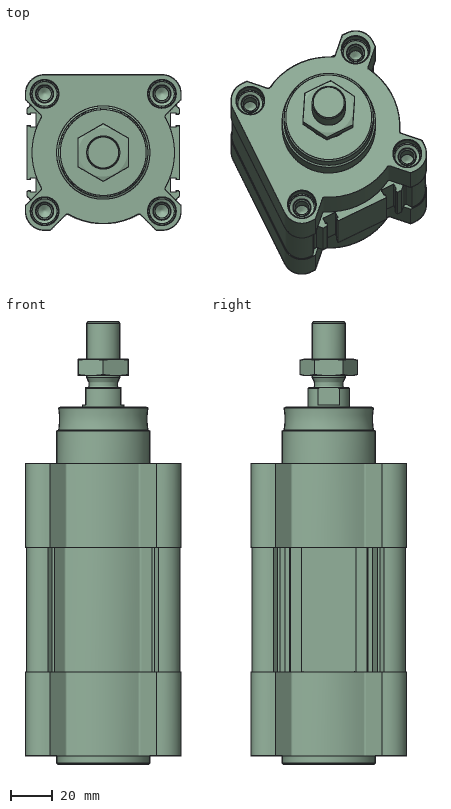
import cadquery as cq
import math

total_height = 213.0
rear_pilot_height = 4.0
cap_height = 40.5
barrel_height = 59.9
nose_height = 15.5
gaiter_seat_height = 11.5

rear_cap_top = rear_pilot_height + cap_height
barrel_top = rear_cap_top + barrel_height
front_cap_top = barrel_top + cap_height
nose_top = front_cap_top + nose_height
gaiter_seat_top = nose_top + gaiter_seat_height

cap_width = 75.0
screw_offset = 28.24
lug_flat_end = 25.5
cap_round_radius = 34.3
recess_fillet = 1.0

barrel_width = 74.0
barrel_round_radius = 34.0
lug_edge = 26.6
ledge_outer = 24.7
ledge_inner = 23.5
ledge_distance = 34.3
side_face_distance = 36.75

slot_opening_inner = 13.0
slot_opening_outer = 18.3
slot_undercut = 0.6
slot_floor_distance = 32.4
slot_lip_thickness = 1.7
slot_lip_chamfer = 0.6

pilot_diameter = 45.0
pilot_chamfer = 0.6
gaiter_seat_diameter = 43.0
seat_base_slope_height = 0.5
seat_rim_chamfer_width = 0.9
seat_rim_chamfer_height = 0.5
gaiter_seat_waist = 0.5

socket_rim_diameter = 13.9
socket_diameter = 13.2
thread_cone_diameter = 12.0
screw_recess_depth = 8.5
thread_mouth_diameter = 8.7
thread_diameter = 8.0
thread_core_diameter = 6.5
thread_depth = 21.3
drill_tip_slope = 30.0

rod_diameter = 20.0
rod_shoulder_z = 181.3
flats_bottom_z = 173.0
flats_width = 17.0
thread_end_z = 186.2
neck_top_z = 184.0
neck_diameter = 13.9
rod_thread_diameter = 16.0
rod_tip_diameter = 15.0
rod_tip_chamfer_height = 0.9
shoulder_chamfer = 0.5
neck_fillet = 0.6

nut_across_flats = 24.0
nut_bottom_z = 187.0
nut_height = 8.0
nut_chamfer_diameter = 23.5
nut_chamfer_angle = 15.0
hex_half_angle = 30.0


def cylinder(diameter, bottom, top):
    return cq.Workplane("XY").workplane(offset=bottom).circle(diameter / 2).extrude(top - bottom)


def rounded_block(width, bottom, top):
    """Square block whose corner rounds are centred on the corner screws."""
    return (
        cq.Workplane("XY").workplane(offset=bottom)
        .rect(width, width).extrude(top - bottom)
        .edges("|Z").fillet(width / 2 - screw_offset)
    )


def prism(points, bottom, top):
    return cq.Workplane("XY").workplane(offset=bottom).polyline(points).close().extrude(top - bottom)


def mirrored(points):
    """Closes a half outline on the right of the Y axis with its mirror image."""
    return points + [(-x, y) for x, y in reversed(points) if x > 0]


def lug_recess(half_outline, belly_radius, bottom, top):
    """Space between two lugs on the -Y side, outside the round belly."""
    belly = cylinder(2 * belly_radius, bottom, top)
    recess = prism(mirrored(half_outline), bottom, top).cut(belly)
    inner_corners = recess.edges("|Z").edges(">Y")
    return inner_corners.fillet(recess_fillet)


def end_cap(bottom):
    """Cap with four corner lugs, recessed between them on every side but the flat +Y side."""
    top = bottom + cap_height
    half = cap_width / 2
    recess = lug_recess([(lug_flat_end, -half), (0, lug_flat_end - half)], cap_round_radius, bottom, top)
    cap = rounded_block(cap_width, bottom, top)
    for angle in (-90, 0, 90):
        cap = cap.cut(recess.rotate((0, 0, 0), (0, 0, 1), angle))
    return cap


def sensor_slot():
    """T-slot of the -X face, on its +Y half."""
    lip_inside = side_face_distance - slot_lip_thickness
    outside = cap_width / 2
    chamfer_reach = slot_lip_chamfer + outside - side_face_distance
    points = [
        (-outside, slot_opening_inner),
        (-lip_inside, slot_opening_inner),
        (-lip_inside, slot_opening_inner - slot_undercut),
        (-slot_floor_distance, slot_opening_inner - slot_undercut),
        (-slot_floor_distance, slot_opening_outer + slot_undercut),
        (-lip_inside, slot_opening_outer + slot_undercut),
        (-lip_inside, slot_opening_outer),
        (-side_face_distance + slot_lip_chamfer, slot_opening_outer),
        (-outside, slot_opening_outer + chamfer_reach),
    ]
    return prism(points, rear_cap_top, barrel_top)


def side_relief():
    """Sets the -X face back from the lugs and cuts the notch beside the +Y lug."""
    half = barrel_width / 2
    points = [
        (-half, 0),
        (-side_face_distance, 0),
        (-side_face_distance, ledge_inner - (side_face_distance - ledge_distance)),
        (-ledge_distance, ledge_inner),
        (-ledge_distance, ledge_outer),
        (-half, lug_edge),
    ]
    return prism(points, rear_cap_top, barrel_top)


def barrel():
    """Barrel profile, slightly smaller than the caps, with two sensor slots on each X side."""
    half = barrel_width / 2
    body = rounded_block(barrel_width, rear_cap_top, barrel_top)
    half_outline = [
        (lug_edge, -half),
        (ledge_outer, -ledge_distance),
        (ledge_inner, -ledge_distance),
        (0, ledge_inner - ledge_distance),
    ]
    body = body.cut(lug_recess(half_outline, barrel_round_radius, rear_cap_top, barrel_top))
    side_cut = side_relief().union(sensor_slot())
    side_cut = side_cut.union(side_cut.mirror("XZ"))
    return body.cut(side_cut).cut(side_cut.mirror("YZ"))


def nose():
    """Bearing nose with a slightly hollowed seat for a gaiter."""
    seat_radius = gaiter_seat_diameter / 2
    pilot_radius = pilot_diameter / 2
    seat_rim_z = gaiter_seat_top - seat_rim_chamfer_height
    seat_bottom_z = nose_top + seat_base_slope_height
    middle = (seat_bottom_z + seat_rim_z) / 2
    return (
        cq.Workplane("XZ")
        .moveTo(0, front_cap_top)
        .lineTo(pilot_radius, front_cap_top)
        .lineTo(pilot_radius, nose_top)
        .lineTo(seat_radius, seat_bottom_z)
        .threePointArc((seat_radius - gaiter_seat_waist, middle), (seat_radius, seat_rim_z))
        .lineTo(seat_radius - seat_rim_chamfer_width, gaiter_seat_top)
        .lineTo(0, gaiter_seat_top)
        .close().revolve()
    )


def rear_pilot():
    """Short centring disc under the rear cap."""
    return cylinder(pilot_diameter, 0, rear_pilot_height).faces("<Z").chamfer(pilot_chamfer)


def screw_socket():
    """Recess around a corner screw head and the threaded blind hole in it."""
    top = front_cap_top
    floor = top - screw_recess_depth
    rim_drop = (socket_rim_diameter - socket_diameter) / 2
    mouth = floor - (thread_cone_diameter - thread_mouth_diameter) / 4
    thread_bottom = top - thread_depth
    core = thread_core_diameter / 2
    return (
        cq.Workplane("XZ")
        .moveTo(0, top)
        .lineTo(socket_rim_diameter / 2, top)
        .lineTo(socket_diameter / 2, top - rim_drop)
        .lineTo(socket_diameter / 2, floor)
        .lineTo(thread_cone_diameter / 2, floor)
        .lineTo(thread_mouth_diameter / 2, mouth)
        .lineTo(thread_diameter / 2, mouth)
        .lineTo(core, mouth - thread_diameter / 2 + core)
        .lineTo(core, thread_bottom)
        .lineTo(0, thread_bottom - core * math.tan(math.radians(drill_tip_slope)))
        .close().revolve()
    )


def make_housing():
    """Caps, barrel, nose and rear pilot in one body, bored for the rod through the front cap."""
    body = rear_pilot().union(end_cap(rear_pilot_height)).union(barrel())
    body = body.union(end_cap(barrel_top)).union(nose())
    socket = screw_socket()
    for x in (-screw_offset, screw_offset):
        for y in (-screw_offset, screw_offset):
            body = body.cut(socket.translate((x, y, 0)))
    return body.cut(cylinder(rod_diameter, barrel_top, gaiter_seat_top))


def make_rod():
    """Piston rod with wrench flats, an undercut neck and a plain thread cylinder."""
    thread_radius = rod_thread_diameter / 2
    neck_radius = neck_diameter / 2
    rod = (
        cq.Workplane("XZ")
        .moveTo(0, barrel_top)
        .lineTo(rod_diameter / 2, barrel_top)
        .lineTo(rod_diameter / 2, rod_shoulder_z - shoulder_chamfer)
        .lineTo(rod_diameter / 2 - shoulder_chamfer, rod_shoulder_z)
        .lineTo(neck_radius, rod_shoulder_z)
        .lineTo(neck_radius, neck_top_z)
        .lineTo(thread_radius, thread_end_z)
        .lineTo(thread_radius, total_height - rod_tip_chamfer_height)
        .lineTo(rod_tip_diameter / 2, total_height)
        .lineTo(0, total_height)
        .close().revolve()
    )
    neck_ends = cq.selectors.RadiusNthSelector(0)
    rod = rod.edges("%CIRCLE").edges(neck_ends).fillet(neck_fillet)
    flats_height = rod_shoulder_z - flats_bottom_z
    outside_flats = (
        cq.Workplane("XY").workplane(offset=flats_bottom_z)
        .rect(2 * rod_diameter, 2 * rod_diameter).rect(flats_width, 2 * rod_diameter)
        .extrude(flats_height)
    )
    return rod.cut(outside_flats)


def make_nut():
    """Hexagonal lock nut chamfered at both ends, with two corners on the Y axis."""
    corner_diameter = nut_across_flats / math.cos(math.radians(hex_half_angle))
    hexagon = (
        cq.Workplane("XY").workplane(offset=nut_bottom_z)
        .polygon(6, corner_diameter).extrude(nut_height)
        .rotate((0, 0, 0), (0, 0, 1), hex_half_angle)
    )
    nut_top_z = nut_bottom_z + nut_height
    rim = nut_chamfer_diameter / 2
    corner = corner_diameter / 2
    chamfer_drop = (corner - rim) * math.tan(math.radians(nut_chamfer_angle))
    envelope = (
        cq.Workplane("XZ")
        .moveTo(0, nut_bottom_z)
        .lineTo(rim, nut_bottom_z)
        .lineTo(corner, nut_bottom_z + chamfer_drop)
        .lineTo(corner, nut_top_z - chamfer_drop)
        .lineTo(rim, nut_top_z)
        .lineTo(0, nut_top_z)
        .close().revolve()
    )
    return hexagon.intersect(envelope).cut(cylinder(rod_thread_diameter, nut_bottom_z, nut_top_z))


housing = make_housing()
rod = make_rod()
nut = make_nut()

result = cq.Compound.makeCompound([housing.val(), rod.val(), nut.val()])